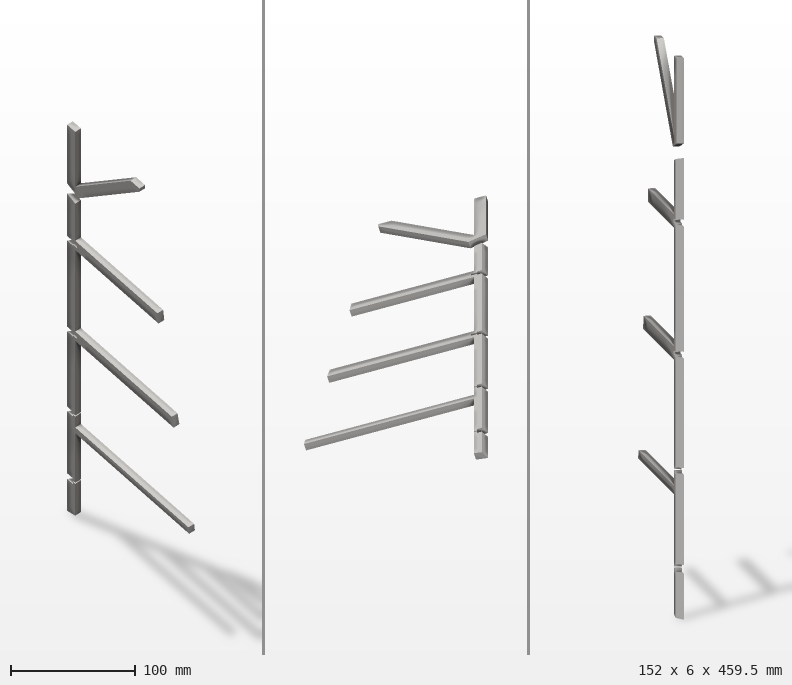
import cadquery as cq
import math

thickness = 6.0
total_height = 459.5
total_width = 152.0
trunk_width = 10.0

bevel_run = thickness * math.tan(math.radians(30))

joint_slope = math.tan(math.radians(20))
trunk_top = 378.0
foot_rise = 2.8

head_bottom = 390.0
head_tip_x = 14.5
head_tip_z = head_bottom - head_tip_x * joint_slope
crotch_z = 394.5
branch_top_x = 79.0
branch_end_x = 90.0
branch_slope = (total_height - crotch_z) / (branch_top_x - trunk_width)
branch_end_z = head_tip_z + (branch_end_x - head_tip_x) * branch_slope

wide_arm_height = 11.0
upper_arm_z = 324.5
upper_arm_end = 114.0
upper_arm_lean = 1.5
middle_arm_z = 216.5
middle_arm_end = 133.0
middle_arm_lean = 2.5
lower_arm_height = 7.0
lower_arm_z = 104.5
lower_arm_lean = 1.0

notch_depth = 7.5
notch_height = 5.5
foot_notch_height = 7.0
slot_height = 2.8
slot_end = 12.5

split_gap = 1.5
lower_split_z = 121.5
foot_split_z = 41.5


def plate(points):
    """Plate of the common thickness with an (x, z) outline, centred on Y = 0."""
    return cq.Workplane("XZ").polyline(points).close().extrude(thickness / 2, both=True)


def bar(x_start, x_end, z_bottom, z_top):
    return plate([(x_start, z_bottom), (x_end, z_bottom), (x_end, z_top), (x_start, z_top)])


def arm(z_middle, height, end, lean):
    """Arm from the trunk's left edge, with its end leaning back towards the top."""
    bottom = z_middle - height / 2
    top = z_middle + height / 2
    return plate([(0, bottom), (end, bottom), (end - lean, top), (0, top)])


def notch(z_middle, height, depth):
    return bar(0, depth, z_middle - height / 2, z_middle + height / 2)


def bevel_left_face(body):
    corner = (
        cq.Workplane("XY")
        .polyline([(0, -thickness / 2), (bevel_run, thickness / 2), (0, thickness / 2)])
        .close()
        .extrude(total_height)
    )
    return body.cut(corner)


def make_head():
    return plate([
        (0, head_bottom),
        (head_tip_x, head_tip_z),
        (branch_end_x, branch_end_z),
        (branch_end_x, total_height),
        (branch_top_x, total_height),
        (trunk_width, crotch_z),
        (trunk_width, total_height),
        (0, total_height),
    ])


def make_upper_trunk():
    bottom = lower_split_z + split_gap / 2
    body = plate([
        (0, bottom),
        (trunk_width, bottom),
        (trunk_width, trunk_top - trunk_width * joint_slope),
        (0, trunk_top),
    ])
    body = body.union(arm(upper_arm_z, wide_arm_height, upper_arm_end, upper_arm_lean))
    body = body.union(arm(middle_arm_z, wide_arm_height, middle_arm_end, middle_arm_lean))
    for z_middle in (upper_arm_z, middle_arm_z):
        body = body.cut(notch(z_middle, notch_height, notch_depth))
        body = body.cut(notch(z_middle, slot_height, slot_end))
    body = body.cut(notch(lower_split_z, notch_height, notch_depth))
    return bevel_left_face(body)


def make_lower_trunk():
    body = bar(0, trunk_width, foot_split_z + split_gap / 2, lower_split_z - split_gap / 2)
    body = body.union(arm(lower_arm_z, lower_arm_height, total_width, lower_arm_lean))
    body = body.cut(notch(lower_split_z, notch_height, notch_depth))
    body = body.cut(notch(foot_split_z, foot_notch_height, notch_depth))
    return bevel_left_face(body)


def make_foot():
    top = foot_split_z - split_gap / 2
    body = plate([(0, 0), (trunk_width, foot_rise), (trunk_width, top), (0, top)])
    body = body.cut(notch(foot_split_z, foot_notch_height, notch_depth))
    return bevel_left_face(body)


head = make_head()
upper_trunk = make_upper_trunk()
lower_trunk = make_lower_trunk()
foot = make_foot()

result = cq.Compound.makeCompound([head.val(), upper_trunk.val(), lower_trunk.val(), foot.val()])